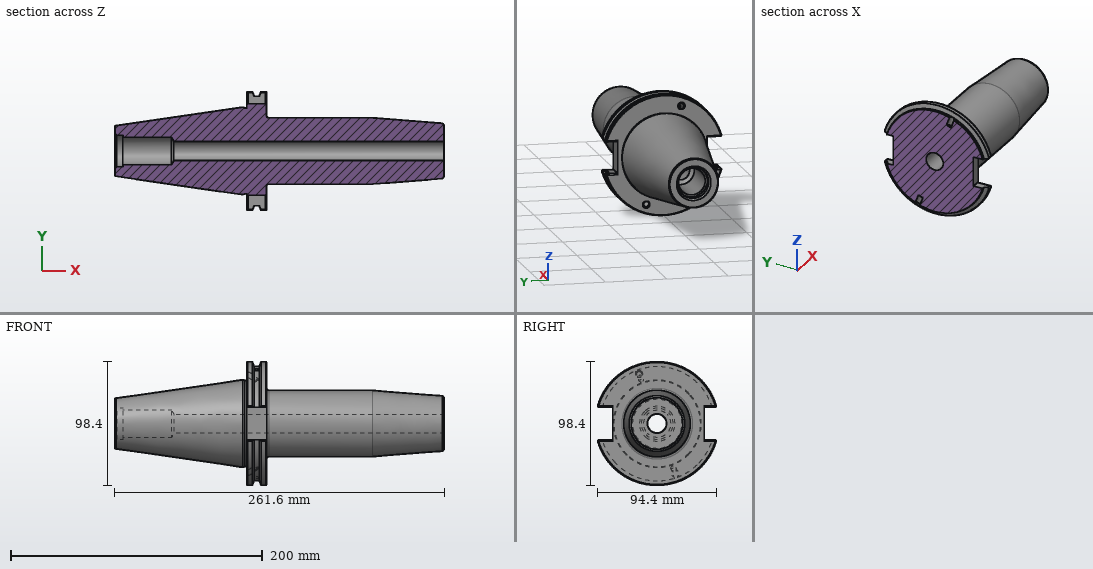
import cadquery as cq
import math


GAUGE_DIAMETER = 69.85
TAPER_LENGTH = 101.6
TAPER_RATIO = 7 / 24
SHANK_EDGE_LENGTH = 1.0
SHANK_EDGE_DEPTH = 0.6

NECK_DIAMETER = 68.6
NECK_START = 1.6

FLANGE_DIAMETER = 98.43
FLANGE_BACK = 3.175
FLANGE_FRONT = 19.05
RIM_CHAMFER = 0.7

GROOVE_CENTER = 11.1
GROOVE_FLOOR_DIAMETER = 91.0
GROOVE_WIDTH = 7.0
GROOVE_FLOOR_WIDTH = 4.0

SLOT_WIDTH = 25.7
SLOT_FLOOR_PLUS_Y = 37.7
SLOT_FLOOR_MINUS_Y = 35.3
SLOT_CHAMFER = 1.15

COOLANT_CIRCLE_RADIUS = 42.0
COOLANT_ANGLE = 20.0
COOLANT_DIAMETER = 4.2
COOLANT_TILT = 30.0
COUNTERSINK_DIAMETER = 5.8
VENT_DIAMETER = 4.0

PROJECTION = 160.0
BODY_DIAMETER = 53.0
BODY_FILLET = 1.6
NOSE_DIAMETER = 44.0
NOSE_ANGLE = 4.5
NOSE_CHAMFER = 1.5

PILOT_DIAMETER = 25.0
PILOT_DEPTH = 6.5
PILOT_CHAMFER = 1.5
THREAD_DIAMETER = 21.6
THREAD_DEPTH = 45.0
DRILL_TIP_HALF_ANGLE = 60.0
THROUGH_DIAMETER = 15.0

SHANK_END = -TAPER_LENGTH
FLANGE_WIDTH = FLANGE_FRONT - FLANGE_BACK


def revolve_about_x(profile):
    """Turn a closed XY profile about the X axis."""
    return profile.close().revolve(360, (0, 0, 0), (1, 0, 0))


def taper_radius(x):
    """Radius of the taper at x, measured from the gauge plane."""
    return (GAUGE_DIAMETER + x * TAPER_RATIO) / 2


def make_shank_and_body():
    edge_x = SHANK_END + SHANK_EDGE_LENGTH
    nose_rise = (BODY_DIAMETER - NOSE_DIAMETER) / 2
    nose_start = PROJECTION - nose_rise / math.tan(math.radians(NOSE_ANGLE))
    chamfer_x = PROJECTION - NOSE_CHAMFER
    chamfer_radius = NOSE_DIAMETER / 2 + NOSE_CHAMFER * math.tan(math.radians(NOSE_ANGLE))
    body_radius = BODY_DIAMETER / 2
    profile = (
        cq.Workplane("XY")
        .moveTo(SHANK_END, 0)
        .lineTo(SHANK_END, taper_radius(SHANK_END) - SHANK_EDGE_DEPTH)
        .lineTo(edge_x, taper_radius(edge_x))
        .lineTo(0, GAUGE_DIAMETER / 2)
        .lineTo(NECK_START, NECK_DIAMETER / 2)
        .lineTo(FLANGE_FRONT, NECK_DIAMETER / 2)
        .lineTo(FLANGE_FRONT, body_radius + BODY_FILLET)
        .radiusArc((FLANGE_FRONT + BODY_FILLET, body_radius), -BODY_FILLET)
        .lineTo(nose_start, body_radius)
        .lineTo(chamfer_x, chamfer_radius)
        .lineTo(PROJECTION, NOSE_DIAMETER / 2 - NOSE_CHAMFER)
        .lineTo(PROJECTION, 0)
    )
    return revolve_about_x(profile)


def make_slot(side, floor):
    """Cutter for the drive slot on one side (+1 or -1) of Y."""
    depth = FLANGE_DIAMETER / 2 - floor
    center_y = side * (floor + depth / 2)
    center_x = (FLANGE_BACK + FLANGE_FRONT) / 2
    return cq.Workplane("XY").box(FLANGE_WIDTH, depth, SLOT_WIDTH).translate((center_x, center_y, 0))


def make_groove():
    half_top = GROOVE_WIDTH / 2
    half_floor = GROOVE_FLOOR_WIDTH / 2
    profile = (
        cq.Workplane("XY")
        .moveTo(GROOVE_CENTER - half_top, FLANGE_DIAMETER / 2)
        .lineTo(GROOVE_CENTER - half_floor, GROOVE_FLOOR_DIAMETER / 2)
        .lineTo(GROOVE_CENTER + half_floor, GROOVE_FLOOR_DIAMETER / 2)
        .lineTo(GROOVE_CENTER + half_top, FLANGE_DIAMETER / 2)
    )
    return revolve_about_x(profile)


def make_flange():
    back_plane = cq.Workplane("YZ", origin=(FLANGE_BACK, 0, 0))
    flange = back_plane.circle(FLANGE_DIAMETER / 2).extrude(FLANGE_WIDTH)
    flange = flange.cut(make_slot(1, SLOT_FLOOR_PLUS_Y))
    flange = flange.cut(make_slot(-1, SLOT_FLOOR_MINUS_Y))
    slot_floor_edges = flange.faces("|Y").edges().vals()
    wall_edges = [
        edge
        for edge in flange.faces("|Z").edges().vals()
        if not any(edge.isSame(floor_edge) for floor_edge in slot_floor_edges)
    ]
    flange = flange.newObject(wall_edges).chamfer(SLOT_CHAMFER)
    flange = flange.edges("%CIRCLE").chamfer(RIM_CHAMFER)
    return flange.cut(make_groove())


def make_coolant_hole(turn):
    """Inclined hole with its radial vent; turn is the angle from the Z axis towards -Y."""
    mouth = cq.Vector(FLANGE_BACK, 0, COOLANT_CIRCLE_RADIUS)
    tilt = math.radians(COOLANT_TILT)
    direction = cq.Vector(math.cos(tilt), 0, -math.sin(tilt))
    length = (GROOVE_CENTER - FLANGE_BACK) / math.cos(tilt)
    start = mouth - direction * COOLANT_DIAMETER
    inclined = cq.Solid.makeCylinder(COOLANT_DIAMETER / 2, length + COOLANT_DIAMETER, start, direction)
    countersink = cq.Solid.makeCone(
        COUNTERSINK_DIAMETER / 2,
        COOLANT_DIAMETER / 2,
        (COUNTERSINK_DIAMETER - COOLANT_DIAMETER) / 2,
        mouth,
        cq.Vector(1, 0, 0),
    )
    meeting_radius = COOLANT_CIRCLE_RADIUS - length * math.sin(tilt)
    vent = cq.Solid.makeCylinder(
        VENT_DIAMETER / 2,
        FLANGE_DIAMETER / 2 - meeting_radius,
        cq.Vector(GROOVE_CENTER, 0, meeting_radius),
        cq.Vector(0, 0, 1),
    )
    hole = cq.Workplane(inclined).union(cq.Workplane(countersink)).union(cq.Workplane(vent))
    return hole.rotate((0, 0, 0), (1, 0, 0), turn)


def make_bore():
    pilot_radius = PILOT_DIAMETER / 2
    thread_radius = THREAD_DIAMETER / 2
    through_radius = THROUGH_DIAMETER / 2
    tip_length = (thread_radius - through_radius) / math.tan(math.radians(DRILL_TIP_HALF_ANGLE))
    pilot_end = SHANK_END + PILOT_DEPTH
    thread_end = SHANK_END + THREAD_DEPTH
    through_start = thread_end + tip_length
    profile = (
        cq.Workplane("XY")
        .moveTo(SHANK_END, 0)
        .lineTo(SHANK_END, pilot_radius + PILOT_CHAMFER)
        .lineTo(SHANK_END + PILOT_CHAMFER, pilot_radius)
        .lineTo(pilot_end, pilot_radius)
        .lineTo(pilot_end, thread_radius)
        .lineTo(thread_end, thread_radius)
        .lineTo(through_start, through_radius)
        .lineTo(PROJECTION, through_radius)
        .lineTo(PROJECTION, 0)
    )
    return revolve_about_x(profile)


result = make_shank_and_body().union(make_flange()).cut(make_bore())
for half_turn in (0, 180):
    result = result.cut(make_coolant_hole(COOLANT_ANGLE + half_turn))